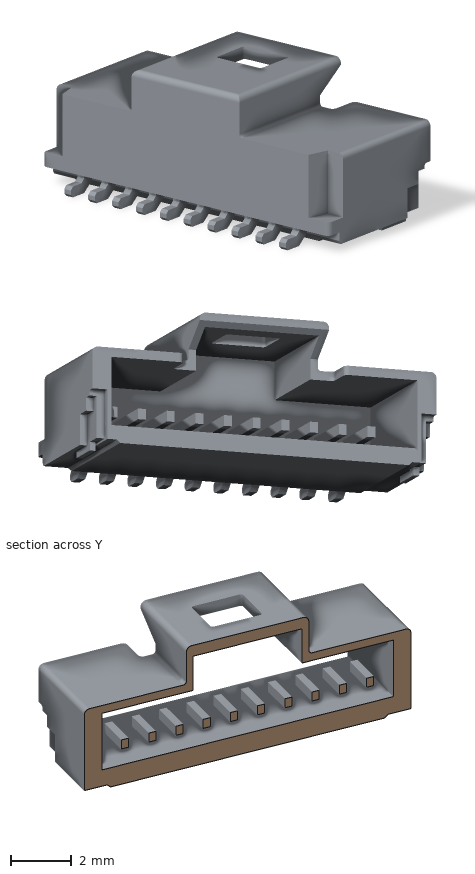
import cadquery as cq
import math


LENGTH = 12.0
DEPTH = 5.35
HALF = LENGTH / 2
SHOULDER_Z = 3.29
SHOULDER_ROUND = 0.19
LIP_Z = 0.64
LIP_OVERHANG = 0.55
LIP_ROUND = 0.19
PAD_Z = 0.11
END_Z = 0.22
PAD_HALF = 5.04
PAD_FLARE = 0.11
FRONT_BEVEL_TOP_Z = 0.35
FRONT_BEVEL_RUN = 0.15

TOP_Z = 4.7
TUNNEL_HALF = 2.25
TUNNEL_ROUND = 0.22
TUNNEL_ROOT_ROUND = 0.11
TUNNEL_WALL = 0.26
TUNNEL_ROOF = 0.43
MOUTH_CUT_DEPTH = 1.09
MOUTH_CUT_HALF = 2.81
MOUTH_CUT_ROUND = 0.15
TUNNEL_SLOPE_LOW_Z = 3.67
TUNNEL_SLOPE_HIGH_Z = 4.44

WINDOW_WIDTH = 1.88
WINDOW_BACK = 1.07
WINDOW_FRONT = 2.57
WINDOW_ROUND = 0.11

CAVITY_HALF = 5.34
CAVITY_ROOF_Z = 2.98
FLOOR_Z = 0.85
FLOOR_STEP = 0.13
FRONT_WALL = 0.84

NOTCH_BACK_WIDTH = 0.64
NOTCH_FRONT_WIDTH = 0.84
NOTCH_DEPTH = 0.75
NOTCH_Z = 1.1

CONTACT_COUNT = 10
CONTACT_PITCH = LENGTH / 12
CONTACT_WIDTH = 0.28
CONTACT_TIP = 2.12
BLADE_LOW_Z = 1.44
BLADE_HIGH_Z = 1.8
STEM_FRONT = 0.15
FOOT_REACH = 0.55
FOOT_HEIGHT = 0.37
FOOT_BEVEL = 0.11
HEEL_Z = 0.34
STEM_BEND = 0.13

RECESS_DEPTH = 0.53
RECESS_TOP_Z = 1.87
RECESS_LIP = 0.3
RECESS_ROUND = 0.1
RECESS_MID_Z = 1.69
RECESS_MID = 0.62
RECESS_LOW_Z = 1.25
RECESS_END = 1.21
NAIL_OUTSET = 0.25
NAIL_FOOT_THICKNESS = 0.2
NAIL_Z = 0.29
NAIL_FOOT_START = 0.96
NAIL_FOOT_END = 2.23


def box(x0, x1, y0, y1, z0, z1):
    return cq.Workplane("XY").box(x1 - x0, y1 - y0, z1 - z0, centered=False).translate((x0, y0, z0))


def side_prism(points, x0, x1):
    """Extrude a closed (y, z) outline along X from x0 to x1."""
    return cq.Workplane("YZ").polyline(points).close().extrude(x1 - x0).translate((x0, 0, 0))


def both_sides(left):
    return left.union(left.mirror("YZ"))


def corner_sliver(corner_x, corner_y, inward_x, inward_y, radius, z0, z1):
    """Waste that rounds an upright corner; inward_x and inward_y (+1 or -1) point into the material."""
    center_x = corner_x + inward_x * radius
    center_y = corner_y + inward_y * radius
    square = cq.Workplane("XY").rect(radius, radius).extrude(z1 - z0)
    square = square.translate(((corner_x + center_x) / 2, (corner_y + center_y) / 2, z0))
    disc = cq.Workplane("XY").circle(radius).extrude(z1 - z0)
    return square.cut(disc.translate((center_x, center_y, z0)))


def make_shell():
    lower_outline = [
        (0, LIP_Z),
        (LIP_OVERHANG, LIP_Z),
        (LIP_OVERHANG, FRONT_BEVEL_TOP_Z),
        (LIP_OVERHANG + FRONT_BEVEL_RUN, PAD_Z),
        (DEPTH, PAD_Z),
        (DEPTH, SHOULDER_Z),
        (0, SHOULDER_Z),
    ]
    body = side_prism(lower_outline, -HALF, HALF)
    body = body.edges("|Y and >Z").fillet(SHOULDER_ROUND)

    end_outline = [
        (-HALF, PAD_Z),
        (-PAD_HALF, PAD_Z),
        (-PAD_HALF - PAD_FLARE, END_Z),
        (-HALF, END_Z),
    ]
    end_gap = cq.Workplane("XZ").polyline(end_outline).close().extrude(-DEPTH)
    lip_round = corner_sliver(-HALF, 0, 1, 1, LIP_ROUND, LIP_Z, NOTCH_Z)
    return body.cut(both_sides(end_gap)).cut(both_sides(lip_round))


def make_tunnel():
    tunnel = box(-TUNNEL_HALF, TUNNEL_HALF, 0, DEPTH, SHOULDER_Z, TOP_Z)
    tunnel = tunnel.faces(">Z").edges("|Y or <Y").fillet(TUNNEL_ROUND)
    root_outline = cq.Workplane("XZ").moveTo(-TUNNEL_HALF, SHOULDER_Z)
    root_outline = root_outline.lineTo(-TUNNEL_HALF - TUNNEL_ROOT_ROUND, SHOULDER_Z)
    diagonal = TUNNEL_ROOT_ROUND * (1 - math.sqrt(0.5))
    root_outline = root_outline.threePointArc(
        (-TUNNEL_HALF - diagonal, SHOULDER_Z + diagonal),
        (-TUNNEL_HALF, SHOULDER_Z + TUNNEL_ROOT_ROUND),
    )
    root = root_outline.close().extrude(-DEPTH)
    return tunnel.union(both_sides(root))


def make_mouth_openings():
    cut_front = DEPTH - MOUTH_CUT_DEPTH
    slot = box(-MOUTH_CUT_HALF, MOUTH_CUT_HALF, cut_front, DEPTH, CAVITY_ROOF_Z, TUNNEL_SLOPE_LOW_Z)
    slot = slot.edges("|Z and <Y").fillet(MOUTH_CUT_ROUND)
    slope_outline = [
        (cut_front, TUNNEL_SLOPE_LOW_Z),
        (DEPTH, TUNNEL_SLOPE_LOW_Z),
        (DEPTH, TUNNEL_SLOPE_HIGH_Z),
    ]
    return slot.union(side_prism(slope_outline, -TUNNEL_HALF, TUNNEL_HALF))


def make_mouth_corner_rounds():
    """Slivers that round the back corners of the shoulder beside the openings."""
    sliver = corner_sliver(
        -MOUTH_CUT_HALF, DEPTH, -1, -1, MOUTH_CUT_ROUND, CAVITY_ROOF_Z, SHOULDER_Z
    )
    return both_sides(sliver)


def make_cavity():
    step_start = DEPTH - WINDOW_BACK
    low_floor_z = FLOOR_Z - FLOOR_STEP
    outline = [
        (FRONT_WALL, FLOOR_Z),
        (step_start - FLOOR_STEP, FLOOR_Z),
        (step_start, low_floor_z),
        (DEPTH - FLOOR_STEP, low_floor_z),
        (DEPTH, low_floor_z - FLOOR_STEP),
        (DEPTH, CAVITY_ROOF_Z),
        (FRONT_WALL, CAVITY_ROOF_Z),
    ]
    cavity = side_prism(outline, -CAVITY_HALF, CAVITY_HALF)
    inner_half = TUNNEL_HALF - TUNNEL_WALL
    bore = box(-inner_half, inner_half, FRONT_WALL, DEPTH, CAVITY_ROOF_Z, TOP_Z - TUNNEL_ROOF)
    return cavity.union(bore)


def make_window():
    half = WINDOW_WIDTH / 2
    window = box(-half, half, DEPTH - WINDOW_FRONT, DEPTH - WINDOW_BACK, TOP_Z - TUNNEL_ROOF, TOP_Z)
    return window.edges("|Z").fillet(WINDOW_ROUND)


def make_front_notches():
    outline = [
        (-HALF, 0),
        (-HALF + NOTCH_FRONT_WIDTH, 0),
        (-HALF + NOTCH_BACK_WIDTH, NOTCH_DEPTH),
        (-HALF, NOTCH_DEPTH),
    ]
    notch = cq.Workplane("XY").polyline(outline).close().extrude(SHOULDER_Z - NOTCH_Z)
    return both_sides(notch.translate((0, 0, NOTCH_Z)))


def make_nail_recesses():
    inner_x = -HALF + RECESS_DEPTH
    lip = box(-HALF, inner_x, DEPTH - RECESS_LIP, DEPTH, 0, RECESS_TOP_Z)
    lip = lip.edges("|X and >Z and <Y").fillet(RECESS_ROUND)
    middle = box(-HALF, inner_x, DEPTH - RECESS_MID, DEPTH, 0, RECESS_MID_Z)
    low = box(-HALF, inner_x, DEPTH - RECESS_END, DEPTH, 0, RECESS_LOW_Z)
    return both_sides(lip.union(middle).union(low))


def make_nails():
    outer_x = -HALF + NAIL_OUTSET
    foot_inner_x = outer_x + NAIL_FOOT_THICKNESS
    wall_x = -HALF + RECESS_DEPTH
    back = DEPTH - RECESS_LIP
    plate = box(outer_x, wall_x, DEPTH - NAIL_FOOT_END, back, NAIL_Z, RECESS_MID_Z)
    foot = box(outer_x, foot_inner_x, DEPTH - NAIL_FOOT_END, DEPTH - NAIL_FOOT_START, 0, NAIL_Z)
    return both_sides(plate.union(foot))


def make_contacts():
    tip = DEPTH - CONTACT_TIP
    outline = [
        (STEM_FRONT, BLADE_HIGH_Z),
        (STEM_FRONT, FOOT_HEIGHT + STEM_BEND),
        (STEM_FRONT - STEM_BEND, FOOT_HEIGHT),
        (-FOOT_REACH + FOOT_BEVEL, FOOT_HEIGHT),
        (-FOOT_REACH, FOOT_HEIGHT - FOOT_BEVEL),
        (-FOOT_REACH, FOOT_BEVEL),
        (-FOOT_REACH + FOOT_BEVEL, 0),
        (STEM_FRONT, 0),
        (LIP_OVERHANG, HEEL_Z),
        (LIP_OVERHANG, BLADE_LOW_Z),
        (tip, BLADE_LOW_Z),
        (tip, BLADE_HIGH_Z),
    ]
    contact = side_prism(outline, -CONTACT_WIDTH / 2, CONTACT_WIDTH / 2)
    row = cq.Workplane("XY")
    for index in range(CONTACT_COUNT):
        x = (index - (CONTACT_COUNT - 1) / 2) * CONTACT_PITCH
        row = row.add(contact.translate((x, 0, 0)))
    return row.combine()


housing = make_shell().union(make_tunnel())
housing = housing.cut(make_cavity()).cut(make_mouth_openings()).cut(make_mouth_corner_rounds())
housing = housing.cut(make_window()).cut(make_front_notches()).cut(make_nail_recesses())
result = housing.union(make_nails()).union(make_contacts())